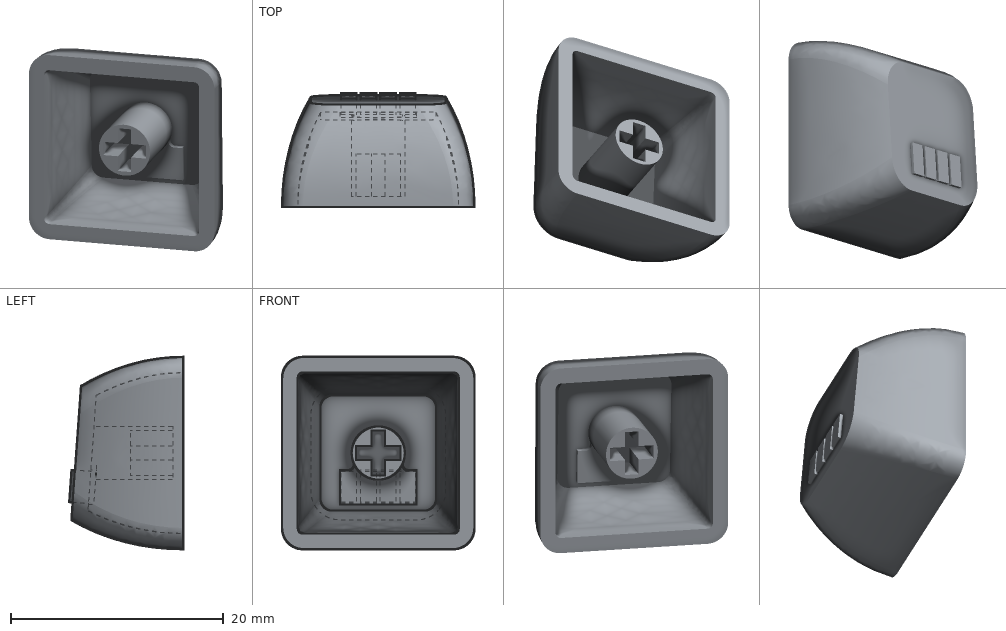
import cadquery as cq
import math

RIM_WIDTH = 18.1
RIM_CORNER_RADIUS = 2.0
ROOF_WIDTH = 12.67
ROOF_LENGTH = 12.6
ROOF_CORNER_RADIUS = 2.72
ROOF_DEPTH = 10.08
ROOF_TILT = 4.1

WALL = 1.48
ROOF_THICKNESS = 1.5
MOUTH_WIDTH = RIM_WIDTH - 2 * WALL
MOUTH_CORNER_RADIUS = 0.5
FLOOR_WIDTH = 10.86
FLOOR_CORNER_RADIUS = 1.12
FLOOR_DEPTH = ROOF_DEPTH - ROOF_THICKNESS

SECTION_COUNT = 5

STEM_DIAMETER = 5.0
STEM_RECESS = 1.0
CROSS_LENGTH = 4.2
CROSS_ARM_WIDTH = 1.3
CROSS_DEPTH = 3.98
PLATE_WIDTH = 7.2
PLATE_TOP_Z = -1.6
PLATE_BOTTOM_Z = -4.83
PLATE_THICKNESS = 0.5
PLATE_FILLET = 0.5
CORNER_SEARCH = 0.18

LEGEND_COUNT = 4
LEGEND_PITCH = 1.85
LEGEND_WIDTH = 1.48
LEGEND_LENGTH = 3.04
LEGEND_CENTRE_Z = -3.24
LEGEND_RISE = 0.33


def tilted_plane(depth, tilt):
    """Plane crossing the Y axis at depth, turned about X; its local y runs toward -Z."""
    angle = math.radians(tilt)
    normal = (0, math.cos(angle), math.sin(angle))
    return cq.Plane(origin=(0, depth, 0), xDir=(1, 0, 0), normal=normal)


def arc_inset(depth, end_depth, end_inset):
    """Inset at a depth of a wall arc that leaves the rim squarely and ends at end_inset."""
    radius = (end_depth**2 + end_inset**2) / (2 * end_inset)
    return radius - math.sqrt(radius**2 - depth**2)


def domed_block(start_width, start_radius, end_width, end_length, end_radius, end_depth):
    """Rounded square at Y = 0 that narrows along arcs to a tilted rounded rectangle."""
    sections = []
    for index in range(SECTION_COUNT):
        fraction = index / (SECTION_COUNT - 1)
        depth = fraction * end_depth
        narrowing = arc_inset(depth, end_depth, (start_width - end_width) / 2)
        shortening = arc_inset(depth, end_depth, (start_width - end_length) / 2)
        progress = 2 * narrowing / (start_width - end_width)
        section = (
            cq.Sketch()
            .rect(start_width - 2 * narrowing, start_width - 2 * shortening)
            .vertices()
            .fillet(start_radius + progress * (end_radius - start_radius))
        )
        plane = tilted_plane(depth, fraction * ROOF_TILT)
        sections.append(section.moved(cq.Location(plane)))
    return cq.Workplane().placeSketch(*sections).loft()


def make_hollow():
    return domed_block(
        MOUTH_WIDTH, MOUTH_CORNER_RADIUS, FLOOR_WIDTH, FLOOR_WIDTH, FLOOR_CORNER_RADIUS, FLOOR_DEPTH
    )


def make_legend():
    """Row of blocks that run from the hollow's floor through the roof."""
    first_x = -LEGEND_PITCH * (LEGEND_COUNT - 1) / 2
    centres = [(first_x + LEGEND_PITCH * index, -LEGEND_CENTRE_Z) for index in range(LEGEND_COUNT)]
    return (
        cq.Workplane(tilted_plane(FLOOR_DEPTH, ROOF_TILT))
        .pushPoints(centres)
        .rect(LEGEND_WIDTH, LEGEND_LENGTH)
        .extrude(ROOF_THICKNESS * math.cos(math.radians(ROOF_TILT)) + LEGEND_RISE)
    )


def make_shell():
    outside = domed_block(
        RIM_WIDTH, RIM_CORNER_RADIUS, ROOF_WIDTH, ROOF_LENGTH, ROOF_CORNER_RADIUS, ROOF_DEPTH
    )
    return outside.cut(make_hollow()).cut(make_legend())


def make_insert():
    stem_start = cq.Workplane(tilted_plane(STEM_RECESS, 0))
    stem = stem_start.circle(STEM_DIAMETER / 2).extrude(ROOF_DEPTH - STEM_RECESS)
    plate = (
        cq.Workplane(tilted_plane(FLOOR_DEPTH, ROOF_TILT))
        .center(0, -(PLATE_TOP_Z + PLATE_BOTTOM_Z) / 2)
        .rect(PLATE_WIDTH, PLATE_TOP_Z - PLATE_BOTTOM_Z)
        .extrude(-PLATE_THICKNESS)
    )
    body = stem.intersect(make_hollow()).union(plate)
    half_width = STEM_DIAMETER / 2
    inner_corners = cq.selectors.BoxSelector(
        (-half_width, 0, PLATE_TOP_Z - CORNER_SEARCH),
        (half_width, FLOOR_DEPTH, PLATE_TOP_Z + CORNER_SEARCH),
    )
    body = body.edges(inner_corners).fillet(PLATE_FILLET)

    cross = (
        stem_start.rect(CROSS_LENGTH, CROSS_ARM_WIDTH).extrude(CROSS_DEPTH)
        .union(stem_start.rect(CROSS_ARM_WIDTH, CROSS_LENGTH).extrude(CROSS_DEPTH))
    )
    return body.cut(cross).union(make_legend())


shell = make_shell()
insert = make_insert()
result = cq.Compound.makeCompound([shell.solids().val(), insert.solids().val()])